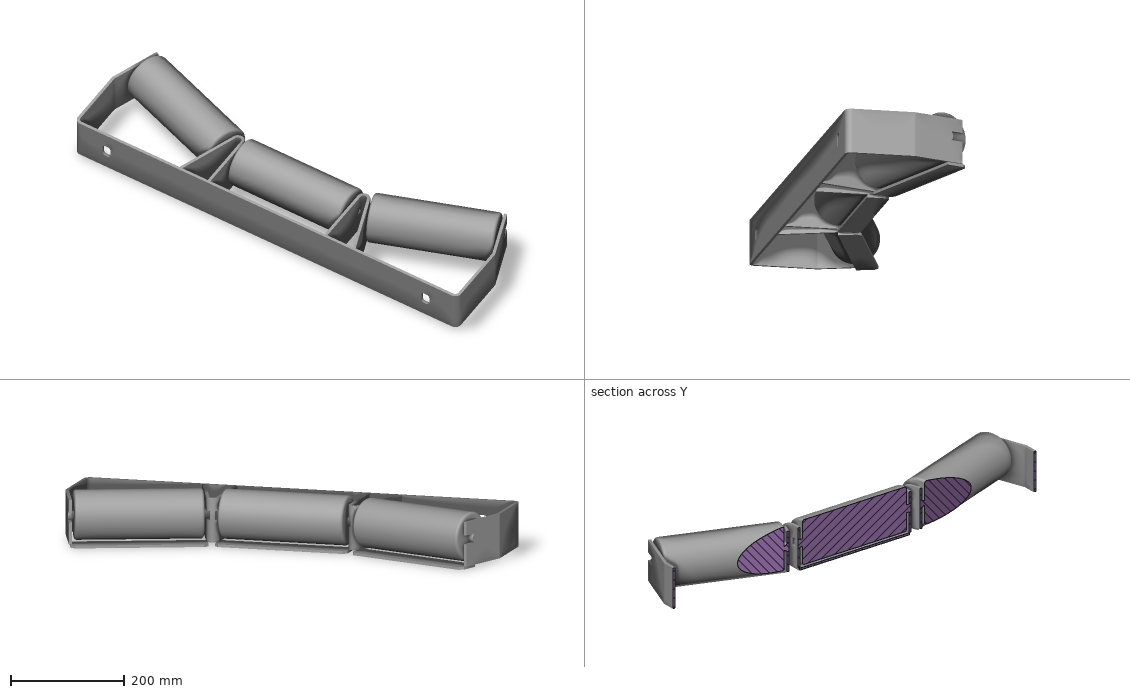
import cadquery as cq
import math


strip = 6.0
height = 80.0
bend_radius = 12.0

frame_length = 800.0
tilt = 20.0
arm_tip_y = 218.0
mount_hole_x = 333.0
mount_hole_width = 17.0
mount_hole_height = 24.0
mount_hole_corner = 6.0

roller_radius = 44.4
roller_length = 230.0
roller_rim = 5.0
mount_gap = 238.0
axis_z = 48.0
mid_axis_y = 100.0
side_axis_height = 108.0
shaft_diameter = 20.0
shaft_flats = 16.0
slot_depth = 80.0

bracket_top_y = 127.0

plate_width = 41.0
plate_thickness = 5.0
plate_corner = 7.0

sin_tilt = math.sin(math.radians(tilt))
cos_tilt = math.cos(math.radians(tilt))
tan_tilt = math.tan(math.radians(tilt))
half_length = frame_length / 2
shaft_length = mount_gap + 2 * strip
fold_x = mount_gap / 2 + bend_radius
fold_y = bracket_top_y - bend_radius
leg_foot_x = fold_x + bend_radius / cos_tilt + (fold_y - strip) * tan_tilt
side_x = leg_foot_x - side_axis_height * sin_tilt + mount_gap / 2 * cos_tilt
side_y = strip + side_axis_height * cos_tilt + mount_gap / 2 * sin_tilt

arm_face_distance = mount_gap / 2 + strip
arm_point_x = side_x + arm_face_distance * cos_tilt
arm_point_y = side_y + arm_face_distance * sin_tilt
arm_bend_y = arm_point_y - (half_length - arm_point_x) / tan_tilt
arm_tip_x = half_length - (arm_tip_y - arm_bend_y) * tan_tilt

stations = [(-side_x, side_y, -tilt), (0, mid_axis_y, 0), (side_x, side_y, tilt)]


def at_station(body, station):
    """Move a body built along X at the origin to a roller station."""
    x, y, angle = station
    return body.rotate((0, 0, 0), (0, 0, 1), angle).translate((x, y, 0))


def make_shaft():
    """Full shaft with two flats, ending flush with the outer strip faces."""
    bar = (
        cq.Workplane("YZ").workplane(offset=-shaft_length / 2)
        .circle(shaft_diameter / 2).extrude(shaft_length)
    )
    flats = cq.Workplane().box(shaft_length, shaft_diameter, shaft_flats)
    return bar.intersect(flats).translate((0, 0, axis_z))


def make_roller(station):
    """Roller with rounded ends, in one piece with its shaft."""
    shell = (
        cq.Workplane("YZ").workplane(offset=-roller_length / 2)
        .circle(roller_radius).extrude(roller_length)
        .edges().fillet(roller_rim)
        .translate((0, 0, axis_z))
    )
    return at_station(shell.union(make_shaft()), station)


def cut_shaft_slots(body):
    """Open slots that let every shaft drop in from the +Y edge of its strips."""
    slot = (
        cq.Workplane().box(shaft_length, slot_depth, shaft_flats, centered=(True, False, True))
        .translate((0, 0, axis_z))
        .union(make_shaft())
    )
    for station in stations:
        body = body.cut(at_station(slot, station))
    return body


def frame_face(inset):
    """Corner, bend and tip of the +X end of the frame, on a face moved inward by the inset."""
    x = half_length - inset
    corner = (x, inset)
    bend = (x, arm_bend_y - inset * math.tan(math.radians(tilt / 2)))
    tip = (arm_tip_x - inset * cos_tilt, arm_tip_y - inset * sin_tilt)
    return [corner, bend, tip]


def mirrored(points):
    """The same points on the -X side."""
    return [(-x, y) for x, y in points]


def make_frame():
    """Bent strip with two inclined arms and two mounting holes."""
    outer = frame_face(0)
    inner = frame_face(strip)
    outline = mirrored(outer)[::-1] + outer + inner[::-1] + mirrored(inner)
    frame = cq.Workplane().polyline(outline).close().extrude(height)

    for face, radius in ((outer, bend_radius), (inner, bend_radius - strip)):
        turns = face[:2]
        for x, y in turns + mirrored(turns):
            frame = frame.edges(cq.selectors.NearestToPointSelector((x, y, height / 2))).fillet(radius)

    holes = (
        cq.Workplane("XZ")
        .pushPoints([(-mount_hole_x, height / 2), (mount_hole_x, height / 2)])
        .rect(mount_hole_width, mount_hole_height)
        .extrude(-strip)
        .edges("|Y").fillet(mount_hole_corner)
    )
    return cut_shaft_slots(frame.cut(holes))


def fold_outline(radius):
    """Filled bracket profile whose fold has the given radius, standing on the base."""
    foot_x = fold_x + radius / cos_tilt + (fold_y - strip) * tan_tilt
    mid_angle = math.radians((180 + tilt) / 2)
    return (
        cq.Workplane()
        .moveTo(fold_x - radius, strip)
        .lineTo(fold_x - radius, fold_y)
        .threePointArc(
            (fold_x + radius * math.cos(mid_angle), fold_y + radius * math.sin(mid_angle)),
            (fold_x + radius * cos_tilt, fold_y + radius * sin_tilt),
        )
        .lineTo(foot_x, strip)
        .close()
        .extrude(height)
    )


def make_bracket():
    """Folded bracket on the +X side."""
    return cut_shaft_slots(fold_outline(bend_radius).cut(fold_outline(bend_radius - strip)))


def make_plate(station):
    """Guard plate on the +Y side of the roller axis, against the underside of the strips."""
    plate = (
        cq.Workplane()
        .box(mount_gap + strip, plate_width, plate_thickness, centered=(True, False, False))
        .edges("|Z and >Y").chamfer(plate_corner)
        .translate((0, 0, -plate_thickness))
    )
    return at_station(plate, station)


frame = make_frame()
right_bracket = make_bracket()
left_bracket = right_bracket.mirror("YZ")
rollers = [make_roller(station) for station in stations]
plates = [make_plate(station) for station in stations]

bodies = [frame, left_bracket, right_bracket, *rollers, *plates]
result = cq.Compound.makeCompound([body.val() for body in bodies])